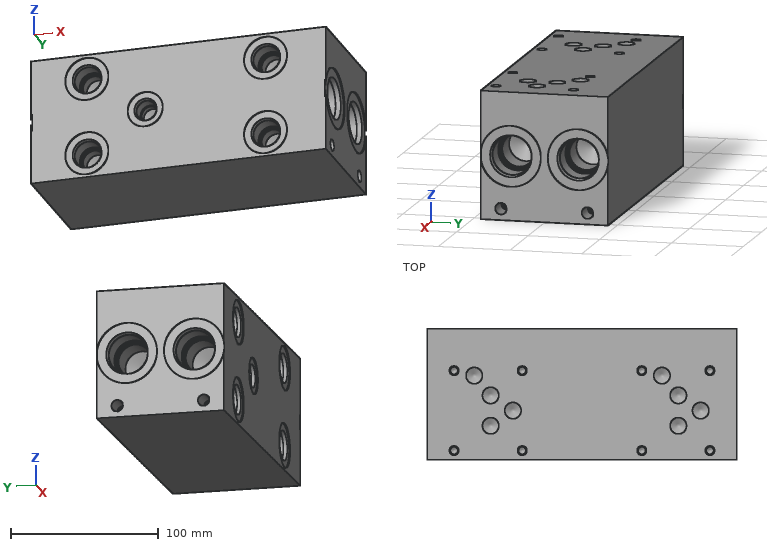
import cadquery as cq
import math

LENGTH = 209.5
WIDTH = 88.8
HEIGHT = 88.8

POINT_ANGLE = 118.0

STATION_PITCH = 127.0
FIRST_STATION_X = -63.5
STATION_OFFSETS = (0.0, STATION_PITCH)

BOLT_SPAN_X = 46.0
BOLT_SPAN_Y = 54.0
BOLT_CENTRE_Y = -11.1
BOLT_THREAD_DIA = 6.3
BOLT_THREAD_DEPTH = 16.8
BOLT_DRILL_DIA = 5.0
BOLT_DRILL_DEPTH = 21.0

VALVE_HOLE_DIA = 11.1
VALVE_HOLE_DEPTH = 3.5
VALVE_HOLES = ((-9.5, 23.7), (1.7, 10.3), (16.8, 0.0), (1.7, -10.3))

WORK_PORT_X = -65.2
WORK_PORT_Z = 27.0
WORK_SPOT_DIA = 30.5
WORK_SEAT_TOP_DIA = 20.5
WORK_SEAT_DIA = 19.3
WORK_SEAT_DEPTH = 2.5
WORK_THREAD_DIA = 19.0
WORK_THREAD_DEPTH = 14.2
WORK_TAP_DIA = 17.5
WORK_TAP_DEPTH = 16.8
WORK_DRILL_DIA = 16.0
WORK_DRILL_DEPTH = 25.1

GAUGE_X = -23.7
GAUGE_SPOT_DIA = 25.0
GAUGE_SEAT_TOP_DIA = 16.0
GAUGE_SEAT_DIA = 14.7
GAUGE_SEAT_DEPTH = 2.5
GAUGE_THREAD_DIA = 14.2
GAUGE_THREAD_DEPTH = 12.0
GAUGE_DRILL_DIA = 12.4
GAUGE_DRILL_DEPTH = 16.8

MAIN_PORT_Y = 23.5
MAIN_SPOT_DIA = 42.1
MAIN_SEAT_TOP_DIA = 29.1
MAIN_SEAT_DIA = 27.5
MAIN_SEAT_DEPTH = 3.4
MAIN_THREAD_DIA = 27.0
MAIN_THREAD_DEPTH = 19.0
MAIN_TAP_DIA = 25.0
MAIN_TAP_DEPTH = 22.5
MAIN_DRILL_DIA = 23.0
MAIN_DRILL_DEPTH = 42.0

SPOT_DEPTH = 0.8

MOUNT_Y = 30.2
MOUNT_Z = -36.5
MOUNT_THREAD_DIA = 8.0
MOUNT_THREAD_DEPTH = 16.8
MOUNT_DRILL_DIA = 6.5
MOUNT_DRILL_DEPTH = 21.0


def point_length(diameter):
    """Length of the conical drill point for a given diameter."""
    return diameter / 2 / math.tan(math.radians(POINT_ANGLE / 2))


def turned_cutter(steps):
    """Cutter about the Z axis, mouth at Z = 0, going down, ended by a drill point.

    Each step is (top diameter, bottom diameter, depth of its bottom).
    """
    outline = [(0, 0)]
    top_depth = 0.0
    for top_dia, bottom_dia, bottom_depth in steps:
        mouth = (top_dia / 2, -top_depth)
        if mouth != outline[-1]:
            outline.append(mouth)
        outline.append((bottom_dia / 2, -bottom_depth))
        top_depth = bottom_depth
    outline.append((0, -top_depth - point_length(steps[-1][1])))
    profile = cq.Workplane("XZ").polyline(outline).close()
    return profile.revolve(360, (0, 0, 0), (0, 1, 0)).val()


def bore(diameter, depth):
    """Step with a straight wall."""
    return (diameter, diameter, depth)


def on_top(cutter, x, y):
    """Place a cutter on the +Z side, drilling downward."""
    return cutter.moved(cq.Location(cq.Vector(x, y, HEIGHT / 2)))


def on_front(cutter, x, z):
    """Place a cutter on the -Y side, drilling toward +Y."""
    turned = cutter.rotate(cq.Vector(0, 0, 0), cq.Vector(1, 0, 0), 90)
    return turned.moved(cq.Location(cq.Vector(x, -WIDTH / 2, z)))


def on_end(cutter, side, y, z):
    """Place a cutter on the end at side * LENGTH / 2, drilling inward."""
    turned = cutter.rotate(cq.Vector(0, 0, 0), cq.Vector(0, 1, 0), side * 90)
    return turned.moved(cq.Location(cq.Vector(side * LENGTH / 2, y, z)))


valve_hole = turned_cutter([bore(VALVE_HOLE_DIA, VALVE_HOLE_DEPTH)])
bolt_hole = turned_cutter([
    bore(BOLT_THREAD_DIA, BOLT_THREAD_DEPTH),
    bore(BOLT_DRILL_DIA, BOLT_DRILL_DEPTH),
])
mount_hole = turned_cutter([
    bore(MOUNT_THREAD_DIA, MOUNT_THREAD_DEPTH),
    bore(MOUNT_DRILL_DIA, MOUNT_DRILL_DEPTH),
])
work_port = turned_cutter([
    bore(WORK_SPOT_DIA, SPOT_DEPTH),
    (WORK_SEAT_TOP_DIA, WORK_SEAT_DIA, SPOT_DEPTH + WORK_SEAT_DEPTH),
    bore(WORK_THREAD_DIA, WORK_THREAD_DEPTH),
    bore(WORK_TAP_DIA, WORK_TAP_DEPTH),
    bore(WORK_DRILL_DIA, WORK_DRILL_DEPTH),
])
gauge_port = turned_cutter([
    bore(GAUGE_SPOT_DIA, SPOT_DEPTH),
    (GAUGE_SEAT_TOP_DIA, GAUGE_SEAT_DIA, SPOT_DEPTH + GAUGE_SEAT_DEPTH),
    bore(GAUGE_THREAD_DIA, GAUGE_THREAD_DEPTH),
    bore(GAUGE_DRILL_DIA, GAUGE_DRILL_DEPTH),
])
main_port = turned_cutter([
    bore(MAIN_SPOT_DIA, SPOT_DEPTH),
    (MAIN_SEAT_TOP_DIA, MAIN_SEAT_DIA, SPOT_DEPTH + MAIN_SEAT_DEPTH),
    bore(MAIN_THREAD_DIA, MAIN_THREAD_DEPTH),
    bore(MAIN_TAP_DIA, MAIN_TAP_DEPTH),
    (MAIN_TAP_DIA, MAIN_DRILL_DIA, MAIN_TAP_DEPTH + point_length(MAIN_TAP_DIA - MAIN_DRILL_DIA)),
    bore(MAIN_DRILL_DIA, MAIN_DRILL_DEPTH),
])

cutters = []

for offset in STATION_OFFSETS:
    station_x = FIRST_STATION_X + offset
    for dx, dy in VALVE_HOLES:
        cutters.append(on_top(valve_hole, station_x + dx, BOLT_CENTRE_Y + dy))
    for side_x in (-1, 1):
        for side_y in (-1, 1):
            bolt_x = station_x + side_x * BOLT_SPAN_X / 2
            bolt_y = BOLT_CENTRE_Y + side_y * BOLT_SPAN_Y / 2
            cutters.append(on_top(bolt_hole, bolt_x, bolt_y))
    for side_z in (-1, 1):
        cutters.append(on_front(work_port, WORK_PORT_X + offset, side_z * WORK_PORT_Z))

cutters.append(on_front(gauge_port, GAUGE_X, 0))

for end in (-1, 1):
    for side_y in (-1, 1):
        cutters.append(on_end(main_port, end, side_y * MAIN_PORT_Y, 0))
        cutters.append(on_end(mount_hole, end, side_y * MOUNT_Y, MOUNT_Z))

block = cq.Workplane("XY").box(LENGTH, WIDTH, HEIGHT)
result = cq.Workplane("XY").newObject([block.val().cut(*cutters)])